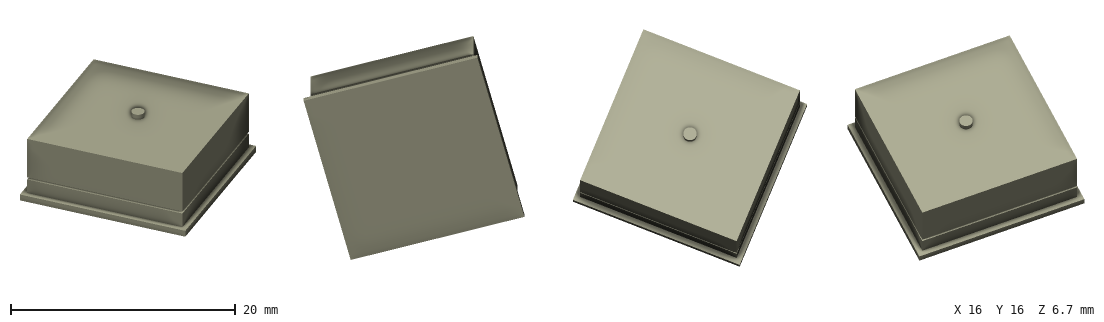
import cadquery as cq

base_side = 16.0
total_height = 6.7

block_side = 15.0
base_thickness = 0.6
lower_block_height = 1.4
gap = 0.2
upper_block_height = 3.98

pin_diameter = 1.2

lower_block_top = base_thickness + lower_block_height
upper_block_bottom = lower_block_top + gap


def square_block(side, height, bottom):
    """Square block centred on the Z axis, standing on the given level."""
    return cq.Workplane("XY").workplane(offset=bottom).rect(side, side).extrude(height)


base = square_block(base_side, base_thickness, 0)
lower_block = square_block(block_side, lower_block_height, base_thickness)
upper_block = square_block(block_side, upper_block_height, upper_block_bottom)
pin = cq.Workplane("XY").circle(pin_diameter / 2).extrude(total_height)

result = base.union(lower_block).union(upper_block).union(pin)